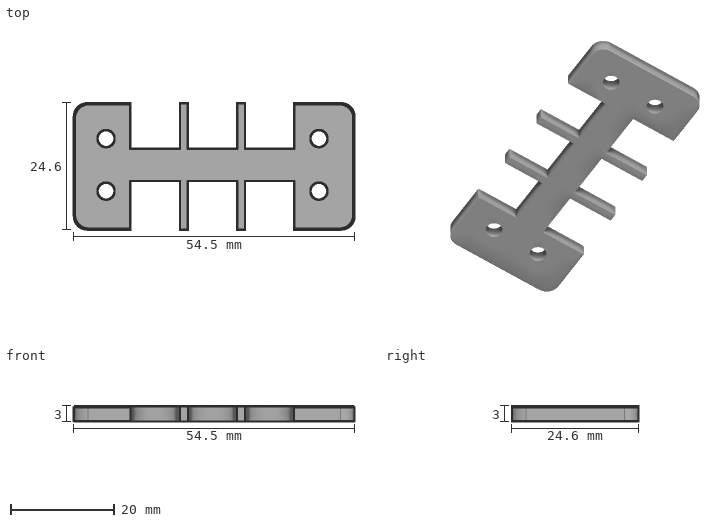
import cadquery as cq

length = 54.5
width = 24.6
thickness = 3.0
corner_radius = 2.7
top_chamfer = 0.25
bottom_chamfer = 0.15

left_pad_length = 11.0
right_pad_length = 11.7
spine_min_x = -length / 2 + left_pad_length
spine_max_x = length / 2 - right_pad_length
spine_min_y = -2.85
spine_max_y = 3.45

rib_width = 1.6
rib_centers_x = (-5.9, 5.25)

hole_diameter = 3.25
hole_centers_x = (-21.0, 20.35)
hole_centers_y = (-4.8, 5.4)


def rounded_plate():
    """Full rectangle with rounded corners and chamfered top and bottom rims."""
    plate = cq.Workplane("XY").box(length, width, thickness, centered=(True, True, False))
    plate = plate.edges("|Z").fillet(corner_radius)
    plate = plate.faces(">Z").edges().chamfer(top_chamfer)
    return plate.faces("<Z").edges().chamfer(bottom_chamfer)


def block(min_x, max_x, min_y, max_y):
    """Full-thickness block between the given limits."""
    solid = cq.Workplane("XY").box(max_x - min_x, max_y - min_y, thickness, centered=False)
    return solid.translate((min_x, min_y, 0))


body = rounded_plate().cut(block(spine_min_x, spine_max_x, -width / 2, width / 2))

body = body.union(block(spine_min_x, spine_max_x, spine_min_y, spine_max_y))
for rib_x in rib_centers_x:
    body = body.union(block(rib_x - rib_width / 2, rib_x + rib_width / 2, -width / 2, width / 2))

hole_points = [(x, y) for x in hole_centers_x for y in hole_centers_y]
holes = cq.Workplane("XY").pushPoints(hole_points).circle(hole_diameter / 2).extrude(thickness)
result = body.cut(holes)